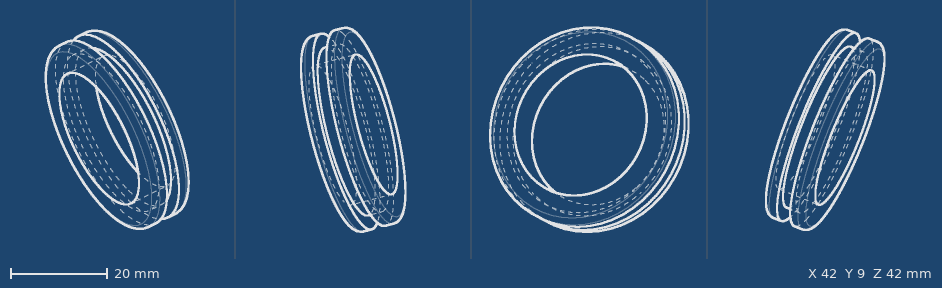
import cadquery as cq

outer_diameter = 42.0
bore_diameter = 30.0
groove_diameter = 36.0
ring_width = 9.0
groove_width = 3.0
rim_fillet = 1.2


def cylinder(diameter, length):
    """Cylinder along Y, centred on the origin."""
    return cq.Workplane("XZ", origin=(0, length / 2, 0)).circle(diameter / 2).extrude(length)


body = cylinder(outer_diameter, ring_width).faces("<Y or >Y").edges().fillet(rim_fillet)

groove = cylinder(outer_diameter, groove_width).cut(cylinder(groove_diameter, groove_width))

bore = cylinder(bore_diameter, ring_width)

result = body.cut(groove).cut(bore)